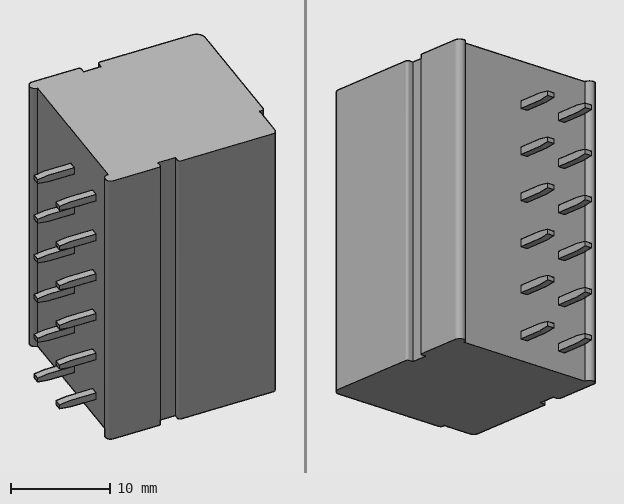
import cadquery as cq

width = 18.5
height = 32.5
depth = 19.5
step_drop = 0.52
step_width = 4.0
back_left_radius = 1.0
back_right_radius = 0.52
step_edge_radius = 0.25

foot_width = 1.2
foot_radius = foot_width / 2

groove_depth = 0.75
groove_width = 1.95
mouth_radius = 0.25
groove_center_depth = 12.55

pin_size = 0.8
pin_length = 3.5
pin_taper_length = 1.2
pin_tip_height = 0.5
pin_columns = 2
pin_rows = 6
pin_rows_span = 25.0
pin_pitch = pin_rows_span / (pin_rows - 1)
first_pin_x = -0.05
first_pin_z = 2.75

half_width = width / 2
floor_y = foot_radius


def make_housing():
    """Stepped block with rounded back edges."""
    step_x = half_width - step_width
    step_y = depth - step_drop
    outline = (
        cq.Workplane("XY")
        .moveTo(-half_width, floor_y)
        .lineTo(half_width, floor_y)
        .lineTo(half_width, step_y)
        .lineTo(step_x, step_y)
        .lineTo(step_x, depth)
        .lineTo(-half_width, depth)
        .close()
    )
    block = outline.extrude(height)
    rounded_edges = (
        (-half_width, depth, back_left_radius),
        (half_width, step_y, back_right_radius),
        (step_x, depth, step_edge_radius),
    )
    for x, y, radius in rounded_edges:
        corner = cq.selectors.NearestToPointSelector((x, y, height / 2))
        block = block.edges(corner).fillet(radius)
    return block


def make_foot(side):
    """Full-length half-round rib on the front face."""
    middle_x = side * (half_width - foot_radius)
    return (
        cq.Workplane("XY")
        .moveTo(middle_x - foot_radius, floor_y)
        .threePointArc((middle_x, 0), (middle_x + foot_radius, floor_y))
        .close()
        .extrude(height)
    )


def make_groove(side):
    """Full-length cutter, straight-walled and flaring to round off the side face."""
    outer_x = side * half_width
    floor_x = outer_x - side * groove_depth
    wall_x = outer_x - side * mouth_radius
    center_y = depth - groove_center_depth
    half_floor = groove_width / 2
    half_mouth = half_floor + mouth_radius
    return (
        cq.Workplane("XY")
        .moveTo(outer_x, center_y - half_mouth)
        .radiusArc((wall_x, center_y - half_floor), -side * mouth_radius)
        .lineTo(floor_x, center_y - half_floor)
        .lineTo(floor_x, center_y + half_floor)
        .lineTo(wall_x, center_y + half_floor)
        .radiusArc((outer_x, center_y + half_mouth), -side * mouth_radius)
        .close()
        .extrude(height)
    )


def make_pin(x, z):
    """Square pin whose top and bottom faces taper towards the tip."""
    taper_y = pin_taper_length - pin_length
    profile = [
        (floor_y, z + pin_size / 2),
        (taper_y, z + pin_size / 2),
        (-pin_length, z + pin_tip_height / 2),
        (-pin_length, z - pin_tip_height / 2),
        (taper_y, z - pin_size / 2),
        (floor_y, z - pin_size / 2),
    ]
    return (
        cq.Workplane("YZ", origin=(x, 0, 0))
        .polyline(profile)
        .close()
        .extrude(pin_size / 2, both=True)
    )


result = make_housing()
for side in (-1, 1):
    result = result.union(make_foot(side))
    result = result.cut(make_groove(side))
for column in range(pin_columns):
    for row in range(pin_rows):
        pin = make_pin(first_pin_x + column * pin_pitch, first_pin_z + row * pin_pitch)
        result = result.union(pin)